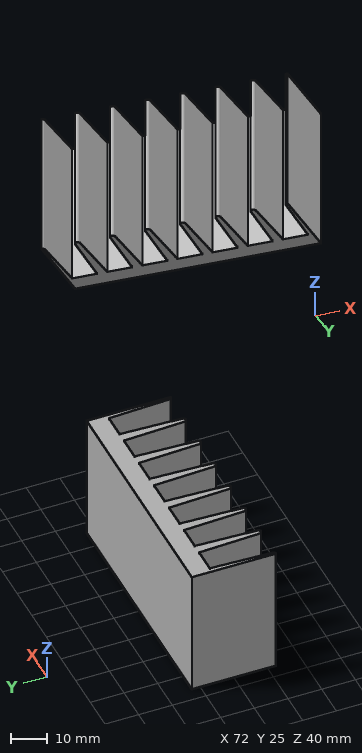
import cadquery as cq

width = 72.0
depth = 25.0
height = 40.0

base_thickness = 6.0
fin_gap_count = 7
fin_root_width = 3.0
fin_tip_radius = 0.75

fin_pitch = width / fin_gap_count
front_y = -depth / 2
back_y = depth / 2
fin_root_y = back_y - base_thickness
tip_center_y = front_y + fin_tip_radius


def make_envelope():
    """Block that bounds the whole heat sink."""
    return cq.Workplane("XY").box(width, depth, height)


def make_base():
    """Flat plate along the back that carries the fins."""
    base_center_y = back_y - base_thickness / 2
    return cq.Workplane("XY").box(width, base_thickness, height).translate((0, base_center_y, 0))


def make_fin(center_x):
    """Tapered fin with a round tip, reaching from the plate's back face to the front."""
    root_half_width = fin_root_width / 2
    return (
        cq.Workplane("XY")
        .workplane(offset=-height / 2)
        .moveTo(center_x - root_half_width, back_y)
        .lineTo(center_x - root_half_width, fin_root_y)
        .lineTo(center_x - fin_tip_radius, tip_center_y)
        .threePointArc((center_x, front_y), (center_x + fin_tip_radius, tip_center_y))
        .lineTo(center_x + root_half_width, fin_root_y)
        .lineTo(center_x + root_half_width, back_y)
        .close()
        .extrude(height)
    )


heat_sink = make_base()
for fin_index in range(fin_gap_count + 1):
    heat_sink = heat_sink.union(make_fin(-width / 2 + fin_index * fin_pitch))

result = heat_sink.intersect(make_envelope()).clean()